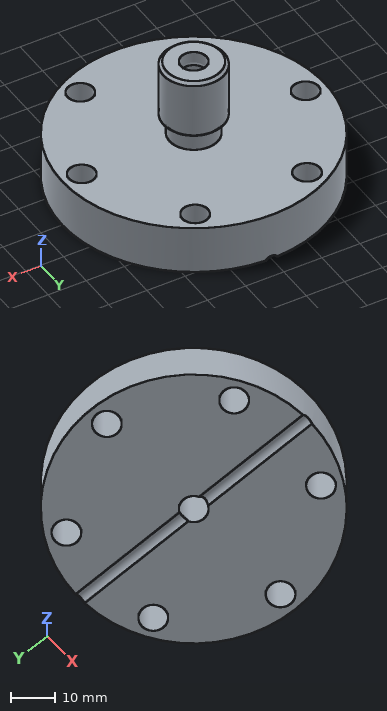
import cadquery as cq

flange_diameter = 69.1
flange_height = 12.7

bolt_count = 6
bolt_hole_diameter = 6.7
bolt_circle_diameter = 58.7

total_height = 33.3
neck_diameter = 12.65
neck_height = 4.7
head_diameter = 15.9
head_chamfer = 0.8
head_bottom = flange_height + neck_height
head_height = total_height - head_bottom

bore_diameter = 6.7
ridge_diameter = 6.35
ridge_depth = 3.1
ridge_upper_slope = 0.55
ridge_lower_slope = 0.55

groove_width = 3.05
groove_height = 0.8


def cylinder(diameter, height, bottom):
    """Vertical cylinder on the central axis."""
    return cq.Workplane("XY").workplane(offset=bottom).circle(diameter / 2).extrude(height)


def make_body():
    flange = cylinder(flange_diameter, flange_height, 0)
    neck = cylinder(neck_diameter, neck_height, flange_height)
    head = cylinder(head_diameter, head_height, head_bottom).edges("%CIRCLE").chamfer(head_chamfer)
    return flange.union(neck).union(head)


def make_bore():
    bore_radius = bore_diameter / 2
    ridge_top = total_height - ridge_depth
    ridge_crest = ridge_top - ridge_upper_slope
    ridge_bottom = ridge_crest - ridge_lower_slope
    profile = [
        (0, 0),
        (bore_radius, 0),
        (bore_radius, ridge_bottom),
        (ridge_diameter / 2, ridge_crest),
        (bore_radius, ridge_top),
        (bore_radius, total_height),
        (0, total_height),
    ]
    return cq.Workplane("XZ").polyline(profile).close().revolve(360, (0, 0), (0, 1))


def make_bolt_holes():
    return (
        cq.Workplane("XY")
        .polarArray(bolt_circle_diameter / 2, 0, 360, bolt_count)
        .circle(bolt_hole_diameter / 2)
        .extrude(flange_height)
    )


def make_groove():
    return (
        cq.Workplane("XZ")
        .moveTo(-groove_width / 2, 0)
        .threePointArc((0, groove_height), (groove_width / 2, 0))
        .close()
        .extrude(flange_diameter / 2, both=True)
    )


result = make_body().cut(make_bore()).cut(make_bolt_holes()).cut(make_groove())